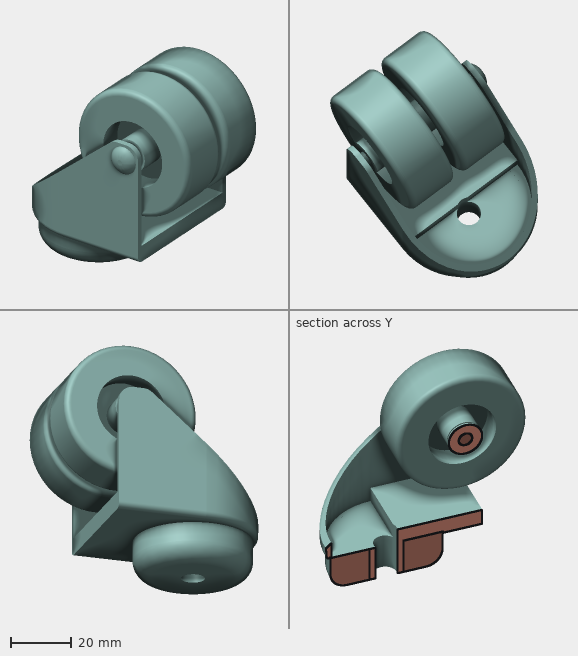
import cadquery as cq
import math


cup_diameter = 40.0
cup_fillet = 6.0
stem_diameter = 12.5
bore_diameter = 8.0

fork_width = 50.0
fork_right = 34.0
arc_center_x = 3.5
wall = 2.0
fork_bottom = 12.5
floor_thickness = 0.5
block_height = 5.5
front_wall_height = 5.0
slope_angle = 40.0
bottom_fillet = 2.0
arm_corner_radius = 5.0

axle_to_arm_edge = 6.0
axle_z = 49.5
axle_diameter = 5.0
head_diameter = 10.0
head_height = 2.1
head_tip_diameter = 2.0

wheel_diameter = 46.0
wheel_width = 18.0
wheel_fillet = 2.0
recess_diameter = 24.0
recess_depth = 8.0
hub_diameter = 12.0
hub_overhang = 1.5
hub_gap = 0.5

fork_radius = fork_width / 2
fork_left = arc_center_x - fork_radius
fork_near_y = -fork_width / 2
fork_far_y = fork_width / 2
fork_top = axle_z + axle_to_arm_edge
floor_z = fork_bottom + floor_thickness
axle_x = fork_right - axle_to_arm_edge
wheel_offset = (hub_gap + wheel_width) / 2 + hub_overhang


def u_prism(inset, bottom, top):
    """Upright prism with a half-round front and straight sides running back to the rear edge."""
    radius = fork_radius - inset
    return (
        cq.Workplane("XY", origin=(0, 0, bottom))
        .moveTo(fork_right, -radius)
        .lineTo(arc_center_x, -radius)
        .threePointArc((arc_center_x - radius, 0), (arc_center_x, radius))
        .lineTo(fork_right, radius)
        .close()
        .extrude(top - bottom)
    )


def z_cylinder(diameter, bottom, top):
    """Cylinder on the swivel axis."""
    return cq.Workplane("XY", origin=(0, 0, bottom)).circle(diameter / 2).extrude(top - bottom)


def y_cylinder(diameter, near_y, far_y):
    """Cylinder on the axle's centre line."""
    return (
        cq.Workplane("XZ", origin=(axle_x, far_y, axle_z))
        .circle(diameter / 2)
        .extrude(far_y - near_y)
    )


def make_arm_outline():
    """Side outline of the fork across its full width: sloped front and rounded top corners."""
    slope_start_z = fork_bottom + front_wall_height
    slope_run = (fork_top - slope_start_z) / math.tan(math.radians(slope_angle))
    return (
        cq.Workplane("XZ", origin=(0, fork_far_y, 0))
        .moveTo(fork_left, fork_bottom)
        .lineTo(fork_left, slope_start_z)
        .lineTo(fork_left + slope_run, fork_top)
        .lineTo(fork_right, fork_top)
        .lineTo(fork_right, fork_bottom)
        .close()
        .extrude(fork_width)
        .edges("|Y and >Z")
        .fillet(arm_corner_radius)
    )


def make_fork():
    body = u_prism(0, fork_bottom, fork_top)

    body = body.faces("<Z").edges("not(>X)").fillet(bottom_fillet)

    body = body.cut(u_prism(wall, floor_z, fork_top))
    body = body.intersect(make_arm_outline())

    block_length = fork_right - arc_center_x
    block = (
        cq.Workplane("XY", origin=(arc_center_x, 0, floor_z))
        .box(block_length, fork_width - 2 * wall, block_height, centered=(False, True, False))
    )
    body = body.union(block)

    body = body.cut(z_cylinder(cup_diameter, fork_bottom, floor_z))
    body = body.union(z_cylinder(stem_diameter, 0, floor_z))
    body = body.cut(z_cylinder(bore_diameter, 0, fork_top))

    return body.cut(y_cylinder(axle_diameter, fork_near_y, fork_far_y))


def make_cup():
    body = z_cylinder(cup_diameter, 0, floor_z)
    body = body.faces("<Z").edges().fillet(cup_fillet)
    return body.cut(z_cylinder(stem_diameter, 0, floor_z))


def make_axle():
    shaft = y_cylinder(axle_diameter, fork_near_y, fork_far_y)

    head_radius = head_diameter / 2
    tip_radius = head_tip_diameter / 2
    tip_y = fork_near_y - head_height
    dome_radius = ((head_radius - tip_radius) ** 2 + head_height**2) / (2 * head_height)
    head = (
        cq.Workplane("XY", origin=(axle_x, 0, axle_z))
        .moveTo(0, fork_near_y)
        .lineTo(head_radius, fork_near_y)
        .radiusArc((tip_radius, tip_y), dome_radius)
        .lineTo(0, tip_y)
        .close()
        .revolve(360, (0, 0, 0), (0, 1, 0))
    )
    return shaft.union(head)


def make_wheel(center_y):
    near_y = center_y - wheel_width / 2
    far_y = center_y + wheel_width / 2
    hub_near_y = near_y - hub_overhang
    hub_far_y = far_y + hub_overhang
    body = y_cylinder(wheel_diameter, near_y, far_y).edges().fillet(wheel_fillet)

    body = body.cut(y_cylinder(recess_diameter, near_y, near_y + recess_depth))
    body = body.cut(y_cylinder(recess_diameter, far_y - recess_depth, far_y))
    body = body.union(y_cylinder(hub_diameter, hub_near_y, hub_far_y))
    return body.cut(y_cylinder(axle_diameter, hub_near_y, hub_far_y))


fork = make_fork()
cup = make_cup()
axle = make_axle()
wheels = [make_wheel(side * wheel_offset) for side in (-1, 1)]

result = cq.Compound.makeCompound(
    [fork.val(), cup.val(), axle.val(), *[wheel.val() for wheel in wheels]]
)